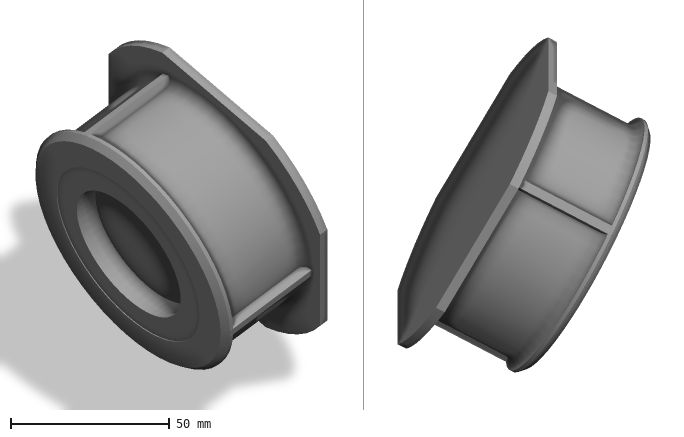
import cadquery as cq

length = 40.5

flange_size = 98.0
flange_diameter = 109.1
flange_thickness = 3.1

drum_radius = 41.6
rim_radius = 45.0
rim_thickness = 3.4
rim_chamfer = 2.2
root_fillet = 2.9

rib_count = 3
rib_width = 2.9

bore_diameter = 48.0
bore_depth = 8.3
counterbore_diameter = 66.0
counterbore_depth = 0.3


def cylinder_backward(diameter, start, depth):
    """Cylinder running from distance `start` ahead of the flange back towards +Y."""
    return cq.Workplane("XZ", origin=(0, -start, 0)).circle(diameter / 2).extrude(-depth)


def make_flange():
    disc = cq.Workplane("XZ").circle(flange_diameter / 2).extrude(flange_thickness)
    square = cq.Workplane("XZ").rect(flange_size, flange_size).extrude(flange_thickness)
    return disc.intersect(square)


def make_drum():
    """Revolved drum and rim, with concave fillets where the drum meets flange and rim."""
    flange_front = -flange_thickness
    rim_back = rim_thickness - length
    fillet_radius = drum_radius + root_fillet
    return (
        cq.Workplane("XY")
        .moveTo(0, flange_front)
        .lineTo(fillet_radius, flange_front)
        .radiusArc((drum_radius, flange_front - root_fillet), -root_fillet)
        .lineTo(drum_radius, rim_back + root_fillet)
        .radiusArc((fillet_radius, rim_back), -root_fillet)
        .lineTo(rim_radius, rim_back)
        .lineTo(rim_radius, rim_chamfer - length)
        .lineTo(rim_radius - rim_chamfer, -length)
        .lineTo(0, -length)
        .close()
        .revolve(360, (0, 0, 0), (0, 1, 0))
    )


def make_rib(angle):
    """Radial bar, flush with the rim, reaching from the flange to the rim chamfer."""
    rib_length = length - flange_thickness - rim_chamfer
    return (
        cq.Workplane("XZ", origin=(0, -flange_thickness, 0))
        .transformed(rotate=(0, 0, angle))
        .center(rim_radius / 2, 0)
        .rect(rim_radius, rib_width)
        .extrude(rib_length)
    )


result = make_flange().union(make_drum())
for index in range(rib_count):
    result = result.union(make_rib(index * 360 / rib_count))

result = result.cut(cylinder_backward(bore_diameter, length, bore_depth))
result = result.cut(cylinder_backward(counterbore_diameter, length, counterbore_depth))